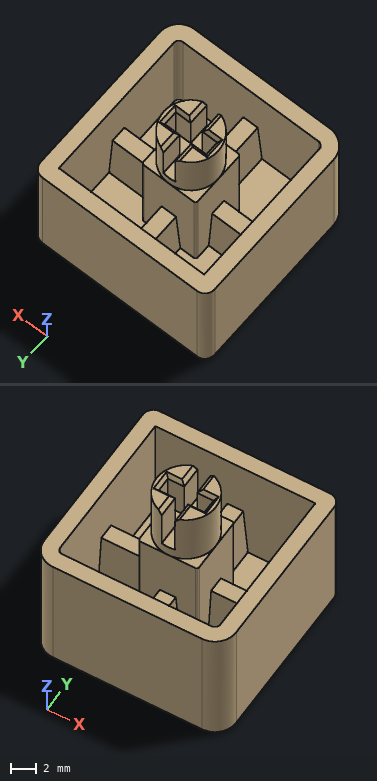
import cadquery as cq
import math

outer_side = 18.0
shell_height = 12.0
wall = 1.5
floor_thickness = 1.5
front_corner_radius = 2.0
back_corner_radius = 1.0
bottom_chamfer = 0.3
cavity_side = outer_side - 2 * wall
cavity_front_radius = front_corner_radius - wall

total_height = 16.5
tip_length = 5.0
tip_diameter = 5.6
post_side = tip_diameter
post_corner_radius = 0.22
post_top = total_height - tip_length
rib_top = 6.5
rib_top_width = 1.5
rib_draft_angle = 5.0

socket_depth = 4.0
arm_length = 4.28
arm_width = 1.39
arm_flare = 0.3
slot_width = 1.22
slot_flare = 0.38
flare_depth = 0.38


def make_shell():
    """Cup with larger round corners at the front than at the back."""
    cup = (
        cq.Workplane("XY")
        .rect(outer_side, outer_side)
        .extrude(shell_height)
        .edges("|Z and <Y").fillet(front_corner_radius)
        .edges("|Z and >Y").fillet(back_corner_radius)
        .faces("<Z").chamfer(bottom_chamfer)
    )
    cavity = (
        cq.Workplane("XY")
        .workplane(offset=floor_thickness)
        .rect(cavity_side, cavity_side)
        .extrude(shell_height - floor_thickness)
        .edges("|Z and <Y").fillet(cavity_front_radius)
    )
    return cup.cut(cavity)


def make_rib():
    """Rib along X with leaning sides, spanning the cavity from wall to wall."""
    rib_height = rib_top - floor_thickness
    half_top = rib_top_width / 2
    half_base = half_top + rib_height * math.tan(math.radians(rib_draft_angle))
    return (
        cq.Workplane("YZ")
        .workplane(offset=-cavity_side / 2)
        .moveTo(-half_base, floor_thickness)
        .lineTo(half_base, floor_thickness)
        .lineTo(half_top, rib_top)
        .lineTo(-half_top, rib_top)
        .close()
        .extrude(cavity_side)
    )


def make_flared_slot(length, width, end_flare, side_flare):
    """Rectangular pocket from the tip's end face, widening over its top part."""
    straight = (
        cq.Workplane("XY")
        .workplane(offset=total_height - socket_depth)
        .rect(length, width)
        .extrude(socket_depth)
    )
    mouth = (
        cq.Workplane("XY")
        .workplane(offset=total_height - flare_depth)
        .rect(length, width)
        .workplane(offset=flare_depth)
        .rect(length + 2 * end_flare, width + 2 * side_flare)
        .loft(ruled=True)
    )
    return straight.union(mouth)


def make_stem():
    """Post, round tip and ribs as one body standing on the shell's floor."""
    post = (
        cq.Workplane("XY")
        .workplane(offset=floor_thickness)
        .rect(post_side, post_side)
        .extrude(post_top - floor_thickness)
        .edges("|Z").fillet(post_corner_radius)
    )
    tip = (
        cq.Workplane("XY")
        .workplane(offset=post_top)
        .circle(tip_diameter / 2)
        .extrude(tip_length)
    )
    stem = post.union(tip)
    for angle in (0, 90):
        stem = stem.union(make_rib().rotate((0, 0, 0), (0, 0, 1), angle))

    closed_arm = make_flared_slot(arm_length, arm_width, arm_flare, arm_flare)
    open_slot = make_flared_slot(post_side, slot_width, 0, slot_flare)
    open_slot = open_slot.rotate((0, 0, 0), (0, 0, 1), 90)
    return stem.cut(closed_arm).cut(open_slot)


shell = make_shell()
stem = make_stem()
result = cq.Compound.makeCompound([shell.solids().val(), stem.solids().val()])